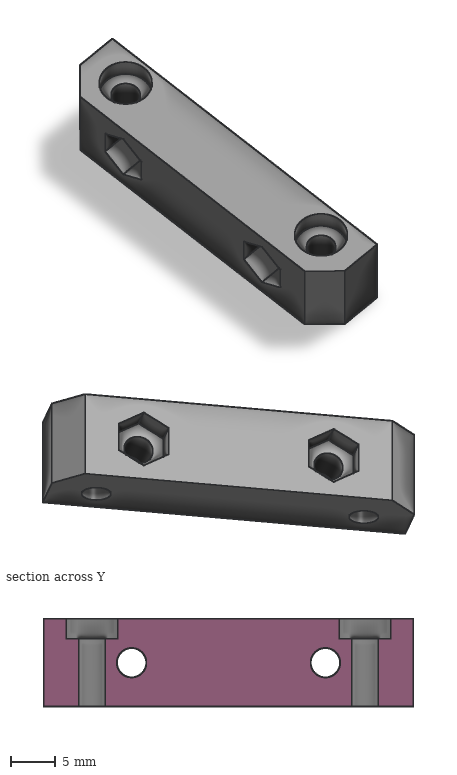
import cadquery as cq
import math

length = 42
depth = 8.5
height = 10.0
chamfer = 3.2

hole_diameter = 3.3
counterbore_diameter = 6.0
counterbore_depth = 2.25
vertical_hole_spacing = 31.0
vertical_hole_from_back = 3.5
cross_hole_spacing = 22.0
nut_across_flats = 5.75
nut_pocket_depth = 3.0

nut_across_corners = nut_across_flats / math.cos(math.radians(30))
vertical_hole_y = depth / 2 - vertical_hole_from_back


def make_block():
    """Block centred in X and Y, standing on Z = 0."""
    block = cq.Workplane("XY").box(length, depth, height, centered=(True, True, False))
    return block.edges("|Z and <Y").chamfer(chamfer)


def add_vertical_hole(body, x):
    """Through hole along Z, counterbored from the top."""
    top = cq.Workplane("XY", origin=(x, vertical_hole_y, height))
    hole = top.circle(hole_diameter / 2).extrude(-height)
    counterbore = top.circle(counterbore_diameter / 2).extrude(-counterbore_depth)
    return body.cut(hole).cut(counterbore)


def add_cross_hole(body, x):
    """Through hole along Y, with a hexagonal nut pocket in the front face, corners up and down."""
    front = cq.Workplane("XZ", origin=(x, -depth / 2, height / 2))
    hole = front.circle(hole_diameter / 2).extrude(-depth)
    pocket = (
        front.transformed(rotate=(0, 0, 90))
        .polygon(6, nut_across_corners)
        .extrude(-nut_pocket_depth)
    )
    return body.cut(hole).cut(pocket)


result = make_block()
for side in (-1, 1):
    result = add_vertical_hole(result, side * vertical_hole_spacing / 2)
    result = add_cross_hole(result, side * cross_hole_spacing / 2)